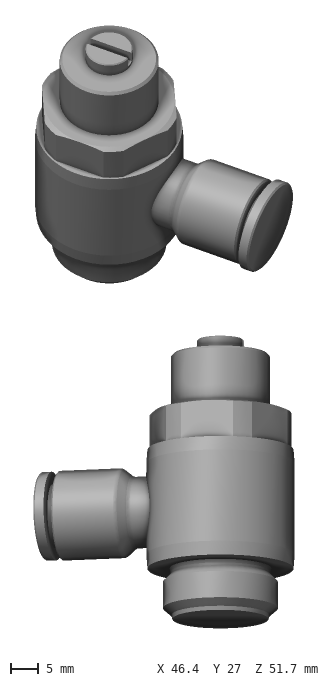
import cadquery as cq

total_height = 51.7

tip_radius = 8.75
tip_top_radius = 8.95
tip_height = 0.7
thread_radius = 10.45
thread_start = 2.0
thread_end = 6.9
neck_radius = 9.1
neck_start = thread_end + thread_radius - neck_radius
neck_flare_start = 8.75
neck_flare_radius = 9.25

body_bottom = 9.35
body_top = 31.35
body_radius = 13.5
body_end_radius = 13.3
body_taper_length = 2.55

hex_top = 38.3
hex_across_flats = 24.0
hex_corner_radius = 12.9
hex_face_radius = 11.95
hex_chamfer_height = 0.35
hex_turn = 30

sleeve_radius = 9.0
sleeve_top = 49.0
sleeve_chamfer = 0.45
screw_radius = 4.3
screw_chamfer = 0.2
slot_width = 1.5
slot_depth = 2.05

connector_height = (body_bottom + body_top) / 2
connector_end = 32.9
stem_radius = 6.5
cone_start = 15.85
cone_end = 17.9
cone_blend_radius = 1.0
socket_radius = 8.15
socket_end = 29.8
socket_chamfer = 0.3
collar_neck_radius = 5.85

collar_start = 30.9
collar_half_width = 9.25
collar_half_height = 8.0
collar_chamfer = 0.3


def revolve_about_z(profile):
    """Revolve a closed (radius, height) outline a full turn about Z."""
    return cq.Workplane("XZ").polyline(profile).close().revolve(360, (0, 0), (0, 1))


def turned_column():
    """Revolve everything that is round about Z, leaving out the hexagon."""
    profile = [
        (0, 0),
        (tip_radius, 0),
        (tip_top_radius, tip_height),
        (thread_radius, thread_start),
        (thread_radius, thread_end),
        (neck_radius, neck_start),
        (neck_radius, neck_flare_start),
        (neck_flare_radius, body_bottom),
        (body_end_radius, body_bottom),
        (body_radius, body_bottom + body_taper_length),
        (body_radius, body_top - body_taper_length),
        (body_end_radius, body_top),
        (sleeve_radius, body_top),
        (sleeve_radius, sleeve_top - sleeve_chamfer),
        (sleeve_radius - sleeve_chamfer, sleeve_top),
        (screw_radius, sleeve_top),
        (screw_radius, total_height - screw_chamfer),
        (screw_radius - screw_chamfer, total_height),
        (0, total_height),
    ]
    return revolve_about_z(profile)


def hexagon():
    """Hexagon with flats facing +Y and -Y, cut to a round, chamfered blank."""
    prism = (
        cq.Workplane("XY", origin=(0, 0, body_top))
        .polygon(6, hex_across_flats, circumscribed=True)
        .extrude(hex_top - body_top)
        .rotate((0, 0, 0), (0, 0, 1), hex_turn)
    )
    blank_profile = [
        (0, body_top),
        (hex_corner_radius, body_top),
        (hex_corner_radius, hex_top - hex_chamfer_height),
        (hex_face_radius, hex_top),
        (0, hex_top),
    ]
    return prism.intersect(revolve_about_z(blank_profile))


def connector():
    """Stem, socket and narrow neck revolved about the connector axis, cone edges rounded."""
    profile = [
        (0, 0),
        (0, stem_radius),
        (cone_start, stem_radius),
        (cone_end, socket_radius),
        (socket_end - socket_chamfer, socket_radius),
        (socket_end, socket_radius - socket_chamfer),
        (socket_end, collar_neck_radius),
        (collar_start, collar_neck_radius),
        (collar_start, 0),
    ]
    turned = (
        cq.Workplane("XZ", origin=(0, 0, connector_height))
        .polyline(profile)
        .close()
        .revolve(360, (0, 0), (1, 0))
    )
    cone_edges = cq.selectors.BoxSelector(
        (cone_start - cone_blend_radius, -body_radius, 0),
        (cone_end + cone_blend_radius, body_radius, total_height),
    )
    return turned.edges(cone_edges).fillet(cone_blend_radius)


def collar():
    """Elliptical release collar, wider in Y than in Z."""
    return (
        cq.Workplane("YZ", origin=(collar_start, 0, connector_height))
        .ellipse(collar_half_width, collar_half_height)
        .extrude(connector_end - collar_start)
        .faces(">X")
        .chamfer(collar_chamfer)
    )


def screwdriver_slot():
    """Slot along X across the full width of the screw head."""
    return cq.Workplane("XY", origin=(0, 0, total_height - slot_depth)).box(
        2 * screw_radius, slot_width, slot_depth, centered=(True, True, False)
    )


result = (
    turned_column()
    .union(hexagon())
    .union(connector())
    .union(collar())
    .cut(screwdriver_slot())
)